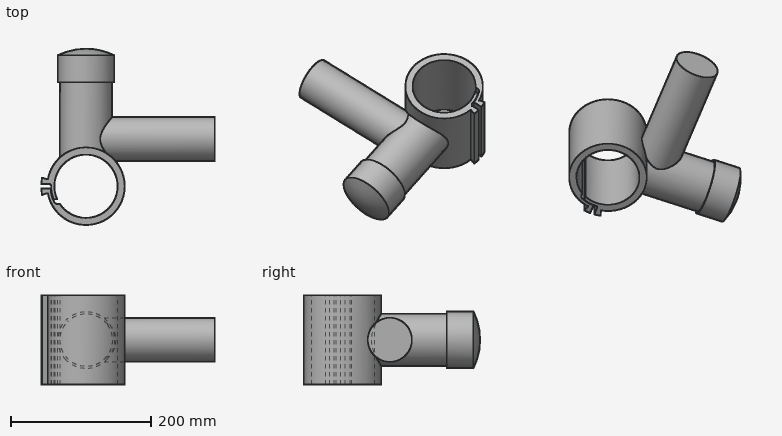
import cadquery as cq
import math

SLEEVE_HEIGHT = 128.0
SLEEVE_RADIUS = 55.5
BORE_RADIUS = 45.0

EAR_RADIUS = 64.0
EAR_ROOT_RADIUS = 55.0
EAR_ROOT_HALF_WIDTH = 9.75
EAR_TIP_HALF_WIDTH = 12.5
SPLIT_HALF_WIDTH = 3.1
SPLIT_FILLET = 2.5

RECESS_RADIUS = 50.5
TONGUE_CLEARANCE = 0.5
TONGUE_END_Y = -18.8
RECESS_END_Y = -25.0
RECESS_FILLET = 4.0

CAPPED_ARM_RADIUS = 37.5
CAP_RADIUS = 40.5
CAP_START_Y = 148.5
CAP_RIM_Y = 187.0
CAP_APEX_Y = 196.67

SIDE_ARM_RADIUS = 31.5
SIDE_ARM_Y = 67.5
SIDE_ARM_END_X = 184.0


def prism(outline):
    """Extrude a closed XY outline over the full sleeve height."""
    return outline.extrude(SLEEVE_HEIGHT / 2, both=True)


def disc(radius):
    return prism(cq.Workplane("XY").circle(radius))


def left_point(radius, y):
    """Point at the given y on the -X half of a circle about the sleeve axis."""
    return (-math.sqrt(radius**2 - y**2), y)


def sleeve_with_ears():
    root_top = left_point(EAR_ROOT_RADIUS, EAR_ROOT_HALF_WIDTH)
    root_bottom = left_point(EAR_ROOT_RADIUS, -EAR_ROOT_HALF_WIDTH)
    tip_top = left_point(EAR_RADIUS, EAR_TIP_HALF_WIDTH)
    tip_bottom = left_point(EAR_RADIUS, -EAR_TIP_HALF_WIDTH)
    ears = (
        cq.Workplane("XY")
        .moveTo(*root_top)
        .lineTo(*tip_top)
        .threePointArc((-EAR_RADIUS, 0), tip_bottom)
        .lineTo(*root_bottom)
        .close()
    )
    return disc(SLEEVE_RADIUS).union(prism(ears))


def dome_midpoint():
    """Point halfway along the dome arc from the rim to the apex."""
    rise = CAP_APEX_Y - CAP_RIM_Y
    dome_radius = (CAP_RADIUS**2 + rise**2) / (2 * rise)
    half_angle = math.asin(CAP_RADIUS / dome_radius) / 2
    drop = dome_radius * (1 - math.cos(half_angle))
    return (dome_radius * math.sin(half_angle), CAP_APEX_Y - drop)


def capped_arm():
    profile = (
        cq.Workplane("XY")
        .lineTo(CAPPED_ARM_RADIUS, 0)
        .lineTo(CAPPED_ARM_RADIUS, CAP_START_Y)
        .lineTo(CAP_RADIUS, CAP_START_Y)
        .lineTo(CAP_RADIUS, CAP_RIM_Y)
        .threePointArc(dome_midpoint(), (0, CAP_APEX_Y))
        .close()
    )
    return profile.revolve(360, (0, 0), (0, 1))


def side_arm():
    return (
        cq.Workplane("YZ")
        .center(SIDE_ARM_Y, 0)
        .circle(SIDE_ARM_RADIUS)
        .extrude(SIDE_ARM_END_X)
    )


def split_slot():
    """Slot between the ears, closed at its inner end by the tongue."""
    tongue_radius = RECESS_RADIUS - TONGUE_CLEARANCE
    corner_x = left_point(tongue_radius, SPLIT_HALF_WIDTH)[0]
    length = EAR_RADIUS + corner_x
    slot = (
        cq.Workplane("XY")
        .box(length, 2 * SPLIT_HALF_WIDTH, SLEEVE_HEIGHT)
        .translate((corner_x - length / 2, 0, 0))
    )
    return slot.edges("|Z and >X and >Y").fillet(SPLIT_FILLET)


def left_sector(radius, end_y):
    """Part of a cylinder about the sleeve axis with x below 0 and y from end_y to 0."""
    quadrant = (
        cq.Workplane("XY")
        .box(radius, -end_y, SLEEVE_HEIGHT)
        .translate((-radius / 2, end_y / 2, 0))
    )
    return disc(radius).intersect(quadrant)


def lap_recess():
    """Recess below the split, with the tongue left standing inside it."""
    pocket = left_sector(RECESS_RADIUS, RECESS_END_Y)
    pocket = pocket.edges("|Z").edges("<Y").edges("<X").fillet(RECESS_FILLET)
    tongue = left_sector(RECESS_RADIUS - TONGUE_CLEARANCE, TONGUE_END_Y)
    return pocket.cut(tongue)


result = (
    sleeve_with_ears()
    .union(capped_arm())
    .union(side_arm())
    .cut(disc(BORE_RADIUS))
    .cut(split_slot())
    .cut(lap_recess())
)